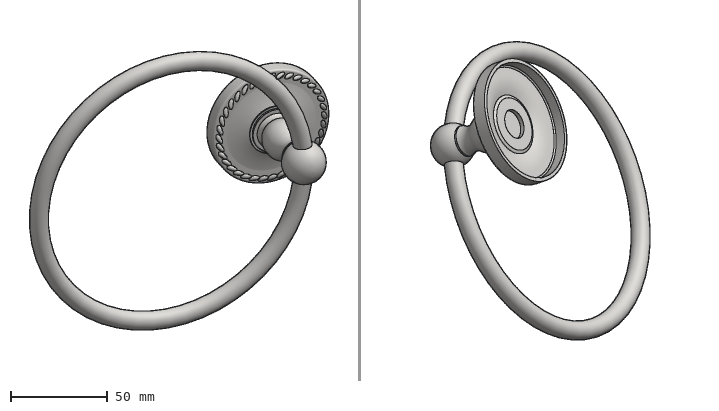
import cadquery as cq
import math


ring_radius = 74.9
ring_tube_diameter = 10.0

ball_radius = 11.6
ball_center_x = 49.3

flange_diameter = 65.9
flange_radius = flange_diameter / 2
flange_face_x = 8.0
flange_round = 1.1

rope_radius = 29.8
rope_beads = 36
bead_radius = 1.3
bead_half_length = 3.4
bead_tilt = 35

bell_start_radius = 25.3
bell_mid = (9.8, 16.7)
bell_end_x = 11.0
bell_end_radius = 13.7

collar_start_x = 11.6
collar_radius = 12.4
collar_end_x = 12.8
neck_start_radius = 10.1
neck_mid = (14.3, 9.4)
neck_end = (16.5, 9.2)

bulb_radius = 11.0
bulb_mid_x = 23.5
bulb_end = (31.3, 8.3)
waist_radius = 7.0
waist_mid_x = 35.5
band_start_x = 40.1
band_radius = 8.3

cup_radius = 31.0
cup_depth = 5.6
cup_step_radius = 30.0
cup_step_depth = 6.2
cup_bell_radius = 27.2
cup_bell_mid = (6.8, 20.3)
cup_bottom_radius = 15.8
cup_bottom_depth = 8.5
seat_radius = 14.0
seat_depth = 7.7
socket_radius = 7.7
socket_depth = 2.3


def turned(profile):
    """Revolve a closed (x, radius) outline around the X axis."""
    return profile.close().revolve(360, (0, 0, 0), (1, 0, 0))


def make_post():
    band_end_x = ball_center_x - math.sqrt(ball_radius**2 - band_radius**2)
    round_middle = flange_round * math.sqrt(0.5)
    profile = (
        cq.Workplane("XY")
        .lineTo(0, flange_radius)
        .lineTo(flange_face_x - flange_round, flange_radius)
        .threePointArc(
            (flange_face_x - flange_round + round_middle, flange_radius - flange_round + round_middle),
            (flange_face_x, flange_radius - flange_round),
        )
        .lineTo(flange_face_x, bell_start_radius)
        .threePointArc(bell_mid, (bell_end_x, bell_end_radius))
        .lineTo(collar_start_x, bell_end_radius)
        .lineTo(collar_start_x, collar_radius)
        .lineTo(collar_end_x, collar_radius)
        .lineTo(collar_end_x, neck_start_radius)
        .threePointArc(neck_mid, neck_end)
        .threePointArc((bulb_mid_x, bulb_radius), bulb_end)
        .threePointArc((waist_mid_x, waist_radius), (band_start_x, band_radius))
        .lineTo(band_end_x, band_radius)
        .lineTo(ball_center_x, 0)
    )
    return turned(profile)


def make_cup():
    socket_bottom = seat_depth + socket_depth
    profile = (
        cq.Workplane("XY")
        .lineTo(0, cup_radius)
        .lineTo(cup_depth, cup_radius)
        .lineTo(cup_step_depth, cup_step_radius)
        .lineTo(cup_step_depth, cup_bell_radius)
        .threePointArc(cup_bell_mid, (cup_bottom_depth, cup_bottom_radius))
        .lineTo(seat_depth, seat_radius)
        .lineTo(seat_depth, socket_radius)
        .lineTo(socket_bottom, socket_radius)
        .lineTo(socket_bottom, 0)
    )
    return turned(profile)


def make_bead():
    """One rope strand: an ellipsoid at the -Y side of the flange, leaning across the rope."""
    bead = (
        cq.Workplane("XZ")
        .moveTo(0, -bead_half_length)
        .ellipseArc(bead_radius, bead_half_length, -90, 90, startAtCurrent=True)
        .close()
        .revolve(360, (0, 0, 0), (0, 1, 0))
    )
    lean_axis = (1, -1, 0)
    return bead.rotate((0, 0, 0), lean_axis, bead_tilt).translate((flange_face_x, -rope_radius, 0))


def make_rope():
    bead = make_bead().val()
    axis_start = cq.Vector(0, 0, 0)
    axis_end = cq.Vector(1, 0, 0)
    beads = [bead.rotate(axis_start, axis_end, index * 360 / rope_beads) for index in range(rope_beads)]
    return cq.Workplane(beads[0].fuse(*beads[1:]))


def make_ball():
    return cq.Workplane("XY").sphere(ball_radius).translate((ball_center_x, 0, 0))


def make_ring():
    return (
        cq.Workplane("XY", origin=(ball_center_x, 0, 0))
        .circle(ring_tube_diameter / 2)
        .revolve(360, (0, -ring_radius, 0), (1, -ring_radius, 0))
    )


part = make_post().union(make_rope()).cut(make_cup()).union(make_ball()).union(make_ring())
result = part.solids()